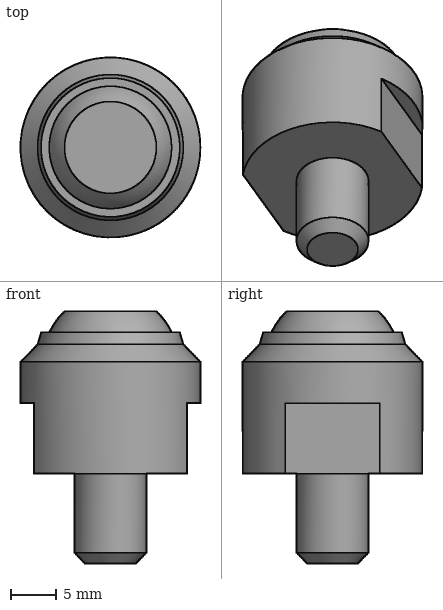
import cadquery as cq
import math

total_height = 28.0
body_diameter = 20.0
across_flats = 17.0
body_radius = body_diameter / 2

shank_radius = 8.0 / 2
shank_length = 10.0
shank_tip_height = 1.23
shank_tip_radius = 2.83

body_height = 12.38
shoulder_height = 1.95
collar_height = 1.35
flat_height = 7.8

collar_base_radius = 8.1
collar_top_radius = 7.7
ball_radius = 7.5
ball_top_radius = 5.1

shoulder_z = shank_length + body_height
collar_z = shoulder_z + shoulder_height
ball_base_z = collar_z + collar_height

ball_center_z = total_height - math.sqrt(ball_radius**2 - ball_top_radius**2)
ball_base_radius = math.sqrt(ball_radius**2 - (ball_base_z - ball_center_z) ** 2)
ball_mid_z = (ball_base_z + total_height) / 2
ball_mid_radius = math.sqrt(ball_radius**2 - (ball_mid_z - ball_center_z) ** 2)


def make_turned_body():
    """Revolve the half profile of the shank, body, collar and ball about Z."""
    return (
        cq.Workplane("XZ")
        .moveTo(0, 0)
        .lineTo(shank_tip_radius, 0)
        .lineTo(shank_radius, shank_tip_height)
        .lineTo(shank_radius, shank_length)
        .lineTo(body_radius, shank_length)
        .lineTo(body_radius, shoulder_z)
        .lineTo(collar_base_radius, collar_z)
        .lineTo(collar_top_radius, ball_base_z)
        .lineTo(ball_base_radius, ball_base_z)
        .threePointArc((ball_mid_radius, ball_mid_z), (ball_top_radius, total_height))
        .lineTo(0, total_height)
        .close()
        .revolve(360, (0, 0, 0), (0, 1, 0))
    )


def make_flat_cutter(side):
    """Block that removes the body beyond one wrench flat; side is -1 or 1."""
    cutter_depth = body_radius
    return (
        cq.Workplane("XY")
        .workplane(offset=shank_length)
        .center(side * (across_flats + cutter_depth) / 2, 0)
        .rect(cutter_depth, body_diameter)
        .extrude(flat_height)
    )


result = make_turned_body()
for side in (-1, 1):
    result = result.cut(make_flat_cutter(side))